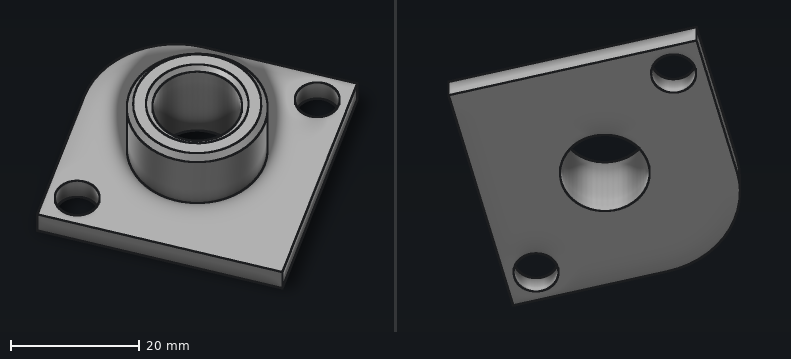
import cadquery as cq
import math

plate_side = 40.0
plate_thickness = 4.0
corner_radius = 15.0

total_height = 15.0
boss_diameter = 22.0
bore_diameter = 14.0
rim_chamfer = 1.0
bore_mouth_width = 1.0
bore_mouth_slope = 30.0
bore_mouth_depth = bore_mouth_width * math.tan(math.radians(bore_mouth_slope))

mount_hole_diameter = 7.0
mount_hole_offset = 15.0


def make_plate():
    """Square plate with its -X, +Y corner rounded."""
    plate = cq.Workplane("XY").rect(plate_side, plate_side).extrude(plate_thickness)
    return plate.edges("|Z").edges("<X").edges(">Y").fillet(corner_radius)


def make_boss():
    """Cylinder standing on the plate, chamfered around its top rim."""
    boss = cq.Workplane("XY").circle(boss_diameter / 2).extrude(total_height)
    return boss.faces(">Z").edges().chamfer(rim_chamfer)


def make_bore():
    """Through bore that opens into a shallow conical mouth at the top."""
    bore = cq.Workplane("XY").circle(bore_diameter / 2).extrude(total_height)
    bore_mouth = cq.Workplane(
        cq.Solid.makeCone(
            bore_diameter / 2,
            bore_diameter / 2 + bore_mouth_width,
            bore_mouth_depth,
            pnt=cq.Vector(0, 0, total_height - bore_mouth_depth),
        )
    )
    return bore.union(bore_mouth)


def make_mount_holes():
    """Through holes at two opposite corners of the plate."""
    centers = [(side * mount_hole_offset, side * mount_hole_offset) for side in (-1, 1)]
    return (
        cq.Workplane("XY")
        .pushPoints(centers)
        .circle(mount_hole_diameter / 2)
        .extrude(plate_thickness)
    )


result = make_plate().union(make_boss()).cut(make_bore()).cut(make_mount_holes())